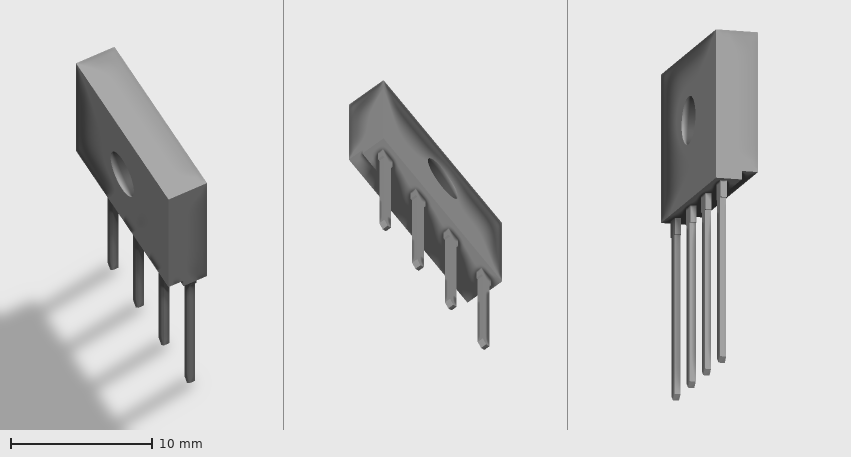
import cadquery as cq

HOUSING_WIDTH = 13.8
HOUSING_DEPTH = 3.1
OVERALL_HEIGHT = 24.0
HOUSING_HEIGHT = 10.82
STEP_DEPTH = 1.2
STEP_HEIGHT = 0.62
HOLE_DIAMETER = 3.48
HOLE_BELOW_TOP = 5.0

LEAD_COUNT = 4
LEAD_PITCH = 3.82
LEAD_THICKNESS = 0.45
LEAD_BACK_GAP = 0.53
SHOULDER_WIDTH = 1.1
SHOULDER_HEIGHT = 1.2
LEAD_WIDTH = 0.77
LEAD_LENGTH = OVERALL_HEIGHT - HOUSING_HEIGHT
TIP_HEIGHT = LEAD_WIDTH / 2

HOUSING_BACK_Y = HOUSING_DEPTH / 2
LEAD_FRONT_Y = HOUSING_BACK_Y - LEAD_BACK_GAP - LEAD_THICKNESS


def make_housing():
    """Block with a step along its lower front edge and a mounting hole through it."""
    front_y = -HOUSING_DEPTH / 2
    side_profile = [
        (front_y, STEP_HEIGHT),
        (front_y + STEP_DEPTH, STEP_HEIGHT),
        (front_y + STEP_DEPTH, 0),
        (HOUSING_BACK_Y, 0),
        (HOUSING_BACK_Y, HOUSING_HEIGHT),
        (front_y, HOUSING_HEIGHT),
    ]
    block = cq.Workplane("YZ").polyline(side_profile).close().extrude(HOUSING_WIDTH / 2, both=True)
    hole = (
        cq.Workplane("XZ", origin=(0, HOUSING_BACK_Y, 0))
        .center(0, HOUSING_HEIGHT - HOLE_BELOW_TOP)
        .circle(HOLE_DIAMETER / 2)
        .extrude(HOUSING_DEPTH)
    )
    return block.cut(hole)


def make_lead(center_x):
    """Flat lead with a wide shoulder under the housing and a pointed tip."""
    half_shoulder = SHOULDER_WIDTH / 2
    half_width = LEAD_WIDTH / 2
    outline = [
        (-half_shoulder, 0),
        (-half_shoulder, -SHOULDER_HEIGHT),
        (-half_width, -SHOULDER_HEIGHT),
        (-half_width, TIP_HEIGHT - LEAD_LENGTH),
        (0, -LEAD_LENGTH),
        (half_width, TIP_HEIGHT - LEAD_LENGTH),
        (half_width, -SHOULDER_HEIGHT),
        (half_shoulder, -SHOULDER_HEIGHT),
        (half_shoulder, 0),
    ]
    blank = cq.Workplane("XZ").polyline(outline).close().extrude(-LEAD_THICKNESS)
    return blank.translate((center_x, LEAD_FRONT_Y, 0))


housing = make_housing()
first_lead_x = -LEAD_PITCH * (LEAD_COUNT - 1) / 2
leads = [make_lead(first_lead_x + i * LEAD_PITCH) for i in range(LEAD_COUNT)]

result = cq.Compound.makeCompound([housing.val(), *[lead.val() for lead in leads]])